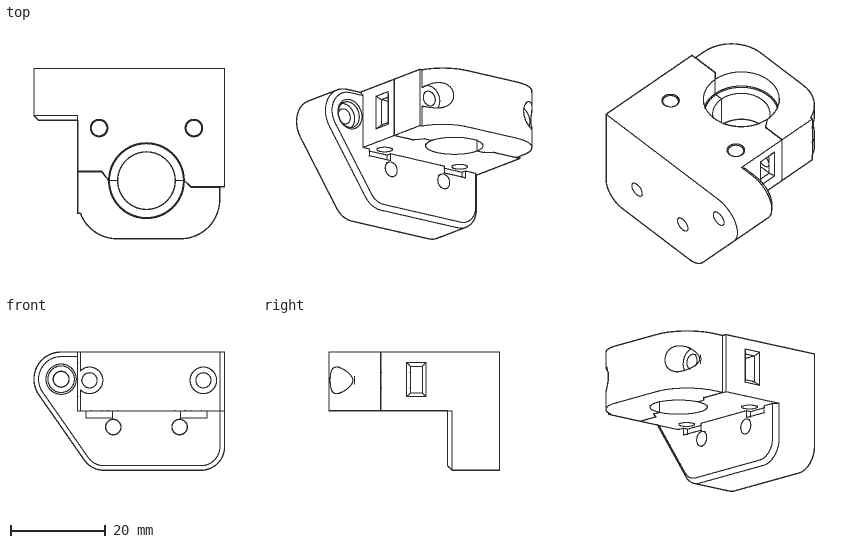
import cadquery as cq
import math


diagonal_ratio = math.sqrt(0.5)

block_left = -14.5
block_right = 16.5
block_height = 12.45
flange_height = 25.0
flange_thickness = 11.0
flange_chamfer = 1.0
rear_y = 23.7
flange_front_y = rear_y - flange_thickness

ear_radius = 5.76
ear_x = -18.0
ear_z = -ear_radius
corner_radius = 5.0
corner_left_x = -9.0
corner_right_x = block_right - corner_radius
corner_z = corner_radius - flange_height

flange_hole_diameter = 3.2
flange_hole_half_spacing = 7.0
flange_hole_z = -15.85
ear_hole_diameter = 3.3
ear_head_diameter = 5.6
ear_head_mouth_diameter = 6.4
ear_head_depth = 2.0

vertical_hole_diameter = 3.3
vertical_hole_chamfer = 0.2
vertical_hole_x = 10.0
vertical_hole_y = 11.1
relief_width = 5.6
relief_height = 1.5

seat_diameter = 16.0
seat_depth = 4.5
seat_chamfer = 0.2
bore_diameter = 12.1
seat_radius = seat_diameter / 2

joint_left_y = 2.0
joint_right_y = -1.3
joint_ramp_width = 1.43
joint_gap = 0.1

cap_front_y = -12.3
cap_right = 15.5
cap_corner_radius = 8.4
cap_step_y = -6.9

clamp_screw_x = 12.0
clamp_screw_z = -6.0
clamp_hole_diameter = 3.2
clamp_head_diameter = 5.6
nut_slot_y = 6.15
nut_slot_z = -5.85
nut_thickness = 2.5
nut_width = 5.6
nut_slot_lead_in = 0.8
clamp_hole_end_y = nut_slot_y + nut_thickness / 2
nut_slot_end_x = clamp_screw_x - nut_width / 2


def cylinder_y(diameter, x, z, start_y, end_y):
    """Cylinder along +Y from start_y to end_y."""
    return cq.Workplane(cq.Solid.makeCylinder(
        diameter / 2, end_y - start_y, cq.Vector(x, start_y, z), cq.Vector(0, 1, 0)))


def cylinder_z(diameter, x, y, bottom_z, top_z):
    """Cylinder along +Z from bottom_z to top_z."""
    return cq.Workplane(cq.Solid.makeCylinder(
        diameter / 2, top_z - bottom_z, cq.Vector(x, y, bottom_z)))


def make_flange():
    """Rear plate with its front rim chamfered."""
    span_x = corner_left_x - ear_x
    span_z = corner_z - ear_z
    taper_angle = math.asin((ear_radius - corner_radius) / math.hypot(span_x, span_z))
    slope_angle = math.atan2(span_z, span_x) + taper_angle
    normal_x = math.sin(slope_angle)
    normal_z = -math.cos(slope_angle)
    ear_mid = (ear_x - ear_radius, ear_z)
    ear_end = (ear_x + ear_radius * normal_x, ear_z + ear_radius * normal_z)
    corner_start = (corner_left_x + corner_radius * normal_x, corner_z + corner_radius * normal_z)
    left_mid_angle = (slope_angle - math.pi) / 2
    left_mid = (corner_left_x + corner_radius * math.cos(left_mid_angle),
                corner_z + corner_radius * math.sin(left_mid_angle))
    right_mid = (corner_right_x + corner_radius * diagonal_ratio, corner_z - corner_radius * diagonal_ratio)
    plate = (
        cq.Workplane("XZ", origin=(0, rear_y, 0))
        .moveTo(block_right, 0)
        .lineTo(ear_x, 0)
        .threePointArc(ear_mid, ear_end)
        .lineTo(*corner_start)
        .threePointArc(left_mid, (corner_left_x, -flange_height))
        .lineTo(corner_right_x, -flange_height)
        .threePointArc(right_mid, (block_right, corner_z))
        .close()
        .extrude(flange_thickness)
    )
    return plate.faces("<Y").chamfer(flange_chamfer)


def make_flange_holes():
    """Two plain through holes and the countersunk-mouth counterbored ear hole."""
    cuts = cylinder_y(ear_hole_diameter, ear_x, ear_z, flange_front_y, rear_y)
    cuts = cuts.union(cylinder_y(
        ear_head_diameter, ear_x, ear_z, flange_front_y, flange_front_y + ear_head_depth))
    mouth_radius = ear_head_mouth_diameter / 2
    head_radius = ear_head_diameter / 2
    cuts = cuts.union(cq.Workplane(cq.Solid.makeCone(
        mouth_radius, head_radius, mouth_radius - head_radius,
        cq.Vector(ear_x, flange_front_y, ear_z), cq.Vector(0, 1, 0))))
    for side in (-1, 1):
        cuts = cuts.union(cylinder_y(
            flange_hole_diameter, side * flange_hole_half_spacing, flange_hole_z, flange_front_y, rear_y))
    return cuts


def make_bearing_cut():
    """Shaft bore below a bearing seat whose floor edge is chamfered."""
    seat_floor_z = -seat_depth
    return (
        cylinder_z(bore_diameter, 0, 0, -block_height, 0)
        .union(cylinder_z(seat_diameter, 0, 0, seat_floor_z, 0).faces("<Z").chamfer(seat_chamfer))
    )


def make_vertical_holes():
    """Vertical screw holes with chamfered mouths and square reliefs in the flange just under the block."""
    cuts = cq.Workplane()
    hole_radius = vertical_hole_diameter / 2
    for side in (-1, 1):
        x = side * vertical_hole_x
        cuts = cuts.add(cylinder_z(vertical_hole_diameter, x, vertical_hole_y, -block_height, 0))
        cuts = cuts.add(cq.Workplane(cq.Solid.makeCone(
            hole_radius, hole_radius + vertical_hole_chamfer, vertical_hole_chamfer,
            cq.Vector(x, vertical_hole_y, -vertical_hole_chamfer))))
        relief = cq.Workplane("XY", origin=(x, vertical_hole_y, -block_height))
        cuts = cuts.add(relief.rect(relief_width, relief_width).extrude(-relief_height))
    return cuts.combine()


def make_clamp_screw_cuts():
    """Clamp screw holes, with the head recesses ending level with the cap step."""
    cuts = cq.Workplane()
    for side in (-1, 1):
        x = side * clamp_screw_x
        cuts = cuts.add(cylinder_y(clamp_hole_diameter, x, clamp_screw_z, cap_step_y, clamp_hole_end_y))
        cuts = cuts.add(cylinder_y(clamp_head_diameter, x, clamp_screw_z, cap_front_y, cap_step_y))
    return cuts.combine()


def make_nut_slot(side_x, inward):
    """Nut slot entering from the side face at side_x, with a tapered lead-in."""
    slot_depth = abs(side_x) - nut_slot_end_x
    mouth = cq.Workplane(cq.Plane((side_x, nut_slot_y, nut_slot_z), (0, 1, 0), (inward, 0, 0)))
    slot = mouth.rect(nut_thickness, nut_width).extrude(slot_depth)
    lead_in = (
        mouth.rect(nut_thickness + 2 * nut_slot_lead_in, nut_width + 2 * nut_slot_lead_in)
        .workplane(offset=nut_slot_lead_in)
        .rect(nut_thickness, nut_width)
        .loft(combine=True)
    )
    return slot.union(lead_in)


def joint_points(shift_y):
    """Joint line from left to right, with its outer steps moved by shift_y; the ramps end at the seat."""
    ramp_end = seat_radius + joint_ramp_width
    return [
        (block_left, joint_left_y + shift_y),
        (-ramp_end, joint_left_y + shift_y),
        (-seat_radius, 0),
        (seat_radius, 0),
        (ramp_end, joint_right_y + shift_y),
    ]


def make_block():
    """Block and flange in one solid, with all its holes and slots."""
    outline = joint_points(0) + [
        (block_right, joint_right_y), (block_right, rear_y), (block_left, rear_y)]
    body = cq.Workplane("XY").polyline(outline).close().extrude(-block_height)
    return (
        body.union(make_flange())
        .cut(make_flange_holes())
        .cut(make_bearing_cut())
        .cut(make_vertical_holes())
        .cut(make_clamp_screw_cuts())
        .cut(make_nut_slot(block_left, 1))
        .cut(make_nut_slot(block_right, -1))
    )


def make_cap():
    """Clamp cap with two round front corners, the left one ending at a small step."""
    arc_y = cap_front_y + cap_corner_radius
    left_arc_x = block_left + cap_corner_radius
    right_arc_x = cap_right - cap_corner_radius
    step_x = left_arc_x - math.sqrt(cap_corner_radius ** 2 - (cap_step_y - arc_y) ** 2)
    mid_offset = cap_corner_radius * diagonal_ratio
    body = (
        cq.Workplane("XY")
        .polyline(joint_points(-joint_gap) + [(cap_right, joint_right_y - joint_gap), (cap_right, arc_y)])
        .threePointArc((right_arc_x + mid_offset, arc_y - mid_offset), (right_arc_x, cap_front_y))
        .lineTo(left_arc_x, cap_front_y)
        .threePointArc((left_arc_x - mid_offset, arc_y - mid_offset), (step_x, cap_step_y))
        .lineTo(block_left, cap_step_y)
        .close()
        .extrude(-block_height)
    )
    return body.cut(make_bearing_cut()).cut(make_clamp_screw_cuts())


block = make_block()
cap = make_cap()

result = cq.Compound.makeCompound([block.val(), cap.val()])